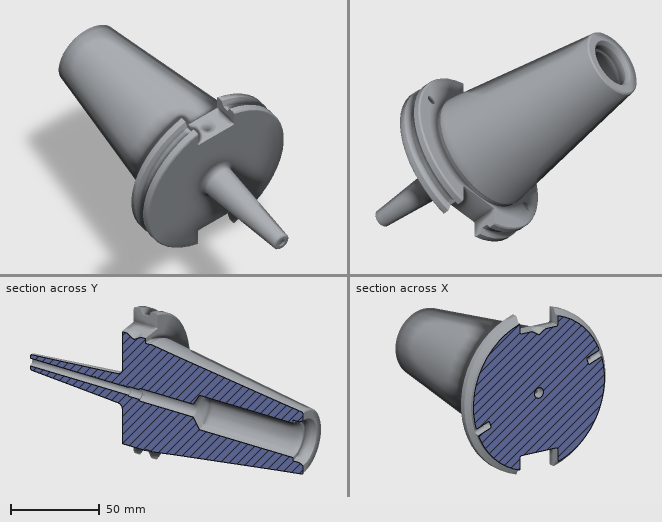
import cadquery as cq
import math

total_length = 181.6

gauge_radius = 70.0 / 2
gauge_x = 101.7
taper_ratio = 7 / 24
tail_radius = gauge_radius - gauge_x * taper_ratio / 2
tail_chamfer = 0.7
neck_radius = 69.2 / 2
neck_chamfer = 1.0

flange_x = 104.8
flange_width = 15.8
flange_end = flange_x + flange_width
flange_radius = 49.0
rim_fillet = 1.0
groove_x = flange_x + flange_width / 2
groove_floor_radius = 91.3 / 2
groove_floor_width = 3.8
groove_mouth_width = 7.5

nose_root_radius = 19.0 / 2
nose_tip_radius = 10.4 / 2
nose_fillet = 3.0
nose_collar_end = flange_end + 3.6
tip_chamfer = 0.7

slot_width = 25.8
slot_floor_fillet = 0.7
upper_slot_floor = 37.6
lower_slot_floor = 35.2
dimple_radius = 9.5 / 2
drill_half_angle = math.radians(59)
dimple_depth = dimple_radius / math.tan(drill_half_angle)

mouth_radius = 14.5
counterbore_radius = 26.2 / 2
mouth_chamfer_depth = 2.7
counterbore_depth = 6.7
bore_radius = 22.0 / 2
bore_depth = 69.0
channel_radius = 8.0 / 2
channel_end = 109.0
throat_radius = 6.0 / 2
throat_end = 116.2
coolant_radius = 4.7 / 2
bore_cone_end = bore_depth + (bore_radius - channel_radius) / math.tan(drill_half_angle)

port_angle = 20.0
face_port_radius = 4.7 / 2
face_port_offset = 41.8
face_port_depth = 2.7
feed_radius = 3.3 / 2
face_port_tilt = 35.0
groove_port_radius = 4.2 / 2
port_axial_reach = groove_x - flange_x
port_meeting_radius = face_port_offset - port_axial_reach * math.tan(math.radians(face_port_tilt))


def make_body():
    """Revolve the complete outer outline about X."""
    mouth_half = groove_mouth_width / 2
    floor_half = groove_floor_width / 2
    rim_radius = flange_radius - rim_fillet
    fillet_top = nose_root_radius + nose_fillet
    fillet_end = flange_end + nose_fillet
    rim_mid_offset = rim_fillet * (1 - math.sqrt(0.5))
    rim_mid_radius = flange_radius - rim_mid_offset
    fillet_mid_offset = nose_fillet * (1 - math.sqrt(0.5))
    outline = (
        cq.Workplane("XY")
        .moveTo(0, 0)
        .lineTo(0, tail_radius - tail_chamfer)
        .lineTo(tail_chamfer, tail_radius + tail_chamfer * taper_ratio / 2)
        .lineTo(gauge_x, gauge_radius)
        .lineTo(gauge_x + neck_chamfer, neck_radius)
        .lineTo(flange_x, neck_radius)
        .lineTo(flange_x, rim_radius)
        .threePointArc(
            (flange_x + rim_mid_offset, rim_mid_radius),
            (flange_x + rim_fillet, flange_radius),
        )
        .lineTo(groove_x - mouth_half, flange_radius)
        .lineTo(groove_x - floor_half, groove_floor_radius)
        .lineTo(groove_x + floor_half, groove_floor_radius)
        .lineTo(groove_x + mouth_half, flange_radius)
        .lineTo(flange_end - rim_fillet, flange_radius)
        .threePointArc(
            (flange_end - rim_mid_offset, rim_mid_radius),
            (flange_end, rim_radius),
        )
        .lineTo(flange_end, fillet_top)
        .threePointArc(
            (flange_end + fillet_mid_offset, nose_root_radius + fillet_mid_offset),
            (fillet_end, nose_root_radius),
        )
        .lineTo(nose_collar_end, nose_root_radius)
        .lineTo(total_length - tip_chamfer, nose_tip_radius)
        .lineTo(total_length, nose_tip_radius - tip_chamfer)
        .lineTo(total_length, 0)
        .close()
    )
    return outline.revolve(360, (0, 0, 0), (1, 0, 0))


def make_bore():
    """Stepped passage with a conical drill end, open at both ends."""
    outline = cq.Workplane("XY").polyline([
        (0, 0),
        (0, mouth_radius),
        (mouth_chamfer_depth, counterbore_radius),
        (counterbore_depth, counterbore_radius),
        (counterbore_depth, bore_radius),
        (bore_depth, bore_radius),
        (bore_cone_end, channel_radius),
        (channel_end, channel_radius),
        (channel_end, throat_radius),
        (throat_end, throat_radius),
        (throat_end, coolant_radius),
        (total_length, coolant_radius),
        (total_length, 0),
    ]).close()
    return outline.revolve(360, (0, 0, 0), (1, 0, 0))


def make_slot(floor_height):
    """Drive slot at +Z, from its floor outwards through the rim."""
    return (
        cq.Workplane("XY", origin=(groove_x, 0, floor_height))
        .rect(flange_width, slot_width)
        .extrude(flange_radius - floor_height)
        .edges("|X and <Z").fillet(slot_floor_fillet)
    )


def make_dimple():
    """Conical dimple in the floor of the upper slot."""
    return cq.Workplane("XY").add(cq.Solid.makeCone(
        dimple_radius, 0, dimple_depth,
        cq.Vector(groove_x, 0, upper_slot_floor), cq.Vector(0, 0, -1),
    ))


def make_port():
    """Inclined hole from the flange face meeting a radial hole from the groove, along +Y."""
    tilt = math.radians(face_port_tilt)
    inward = cq.Vector(math.cos(tilt), -math.sin(tilt), 0)
    meeting_point = cq.Vector(groove_x, port_meeting_radius, 0)
    tilted_reach = port_axial_reach / math.cos(tilt)
    face_point = meeting_point - inward * tilted_reach
    feed_hole = cq.Solid.makeCylinder(feed_radius, tilted_reach, face_point, inward)
    lead_in = 2 * face_port_radius
    face_hole = cq.Solid.makeCylinder(
        face_port_radius, lead_in + face_port_depth, face_point - inward * lead_in, inward,
    )
    groove_hole = cq.Solid.makeCylinder(
        groove_port_radius, flange_radius - port_meeting_radius, meeting_point, cq.Vector(0, 1, 0),
    )
    return cq.Workplane("XY").add(face_hole.fuse(feed_hole, groove_hole))


result = make_body().cut(make_bore())
result = result.cut(make_slot(upper_slot_floor))
result = result.cut(make_slot(lower_slot_floor).rotate((0, 0, 0), (1, 0, 0), 180))
result = result.cut(make_dimple())
for half_turn in (0, 180):
    result = result.cut(make_port().rotate((0, 0, 0), (1, 0, 0), port_angle + half_turn))